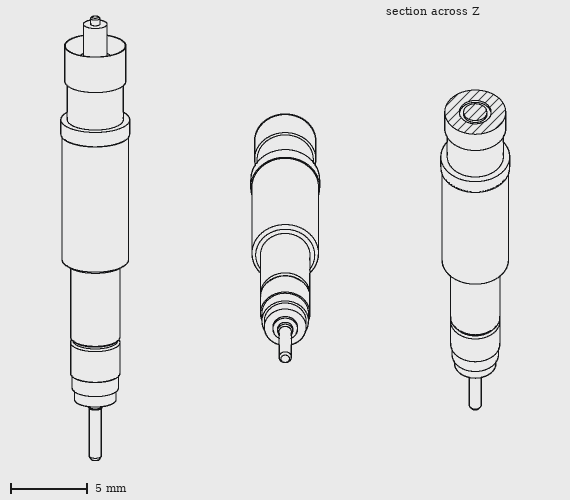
import cadquery as cq

TOTAL_HEIGHT = 31.0

PIN_RADIUS = 0.4
PIN_END_RADIUS = 0.28
PIN_CHAMFER_HEIGHT = 0.22
PIN_TOP = 3.6

SHOULDER_RADIUS = 0.5
SHOULDER_BEVEL_TOP = 3.72

NOSE_TIP_RADIUS = 0.8
NOSE_TIP_BOTTOM = 3.97
NOSE_RADIUS = 1.35
NOSE_BOTTOM = 4.2
NOSE_STEP_RADIUS = 1.52
NOSE_STEP_BOTTOM = 5.0

BARREL_RADIUS = 1.6
BARREL_BOTTOM = 6.0
GROOVE_RADIUS = 1.45
GROOVE_HALF_WIDTH = 0.2
GROOVE_FLAT_HALF_WIDTH = 0.05
GROOVE_CENTRE = 8.37

SLEEVE_RADIUS = 2.17
SLEEVE_BOTTOM = 13.8
SLEEVE_CHAMFER_HEIGHT = 0.2
SLEEVE_CHAMFER_WIDTH = 0.25
FLANGE_DIAMETER = 4.5
FLANGE_RADIUS = FLANGE_DIAMETER / 2
FLANGE_BOTTOM = 22.8
FLANGE_TOP = 23.8

NECK_RADIUS = 1.83
COLLAR_DIAMETER = 4.0
COLLAR_RADIUS = COLLAR_DIAMETER / 2
COLLAR_BOTTOM = 26.5
COLLAR_TOP = 29.0

CUP_RIM_RADIUS = 1.95
RECESS_RADIUS = 1.02
CUP_DEPTH = 0.8
RECESS_DEPTH = 0.3

POST_RADIUS = 0.78
POST_TOP = 30.5
TIP_RADIUS = 0.3
TIP_CHAMFER = 0.1


def turned_body():
    """Revolve the half outline, from the lower pin end to the upper tip."""
    cup_bottom = COLLAR_TOP - CUP_DEPTH
    recess_floor = cup_bottom - RECESS_DEPTH
    outline = [
        (0, 0),
        (PIN_END_RADIUS, 0),
        (PIN_RADIUS, PIN_CHAMFER_HEIGHT),
        (PIN_RADIUS, PIN_TOP),
        (SHOULDER_RADIUS, SHOULDER_BEVEL_TOP),
        (SHOULDER_RADIUS, NOSE_TIP_BOTTOM),
        (NOSE_TIP_RADIUS, NOSE_TIP_BOTTOM),
        (NOSE_TIP_RADIUS, NOSE_BOTTOM),
        (NOSE_RADIUS, NOSE_BOTTOM),
        (NOSE_RADIUS, NOSE_STEP_BOTTOM),
        (NOSE_STEP_RADIUS, NOSE_STEP_BOTTOM),
        (NOSE_STEP_RADIUS, BARREL_BOTTOM),
        (BARREL_RADIUS, BARREL_BOTTOM),
        (BARREL_RADIUS, GROOVE_CENTRE - GROOVE_HALF_WIDTH),
        (GROOVE_RADIUS, GROOVE_CENTRE - GROOVE_FLAT_HALF_WIDTH),
        (GROOVE_RADIUS, GROOVE_CENTRE + GROOVE_FLAT_HALF_WIDTH),
        (BARREL_RADIUS, GROOVE_CENTRE + GROOVE_HALF_WIDTH),
        (BARREL_RADIUS, SLEEVE_BOTTOM),
        (SLEEVE_RADIUS - SLEEVE_CHAMFER_WIDTH, SLEEVE_BOTTOM),
        (SLEEVE_RADIUS, SLEEVE_BOTTOM + SLEEVE_CHAMFER_HEIGHT),
        (SLEEVE_RADIUS, FLANGE_BOTTOM),
        (FLANGE_RADIUS, FLANGE_BOTTOM),
        (FLANGE_RADIUS, FLANGE_TOP),
        (NECK_RADIUS, FLANGE_TOP),
        (NECK_RADIUS, COLLAR_BOTTOM),
        (COLLAR_RADIUS, COLLAR_BOTTOM),
        (COLLAR_RADIUS, COLLAR_TOP),
        (CUP_RIM_RADIUS, COLLAR_TOP),
        (RECESS_RADIUS, cup_bottom),
        (RECESS_RADIUS, recess_floor),
        (POST_RADIUS, recess_floor),
        (POST_RADIUS, POST_TOP),
        (TIP_RADIUS, POST_TOP),
        (TIP_RADIUS, TOTAL_HEIGHT - TIP_CHAMFER),
        (TIP_RADIUS - TIP_CHAMFER, TOTAL_HEIGHT),
        (0, TOTAL_HEIGHT),
    ]
    profile = cq.Workplane("XZ").polyline(outline).close()
    return profile.revolve(360, (0, 0, 0), (0, 1, 0))


result = turned_body()